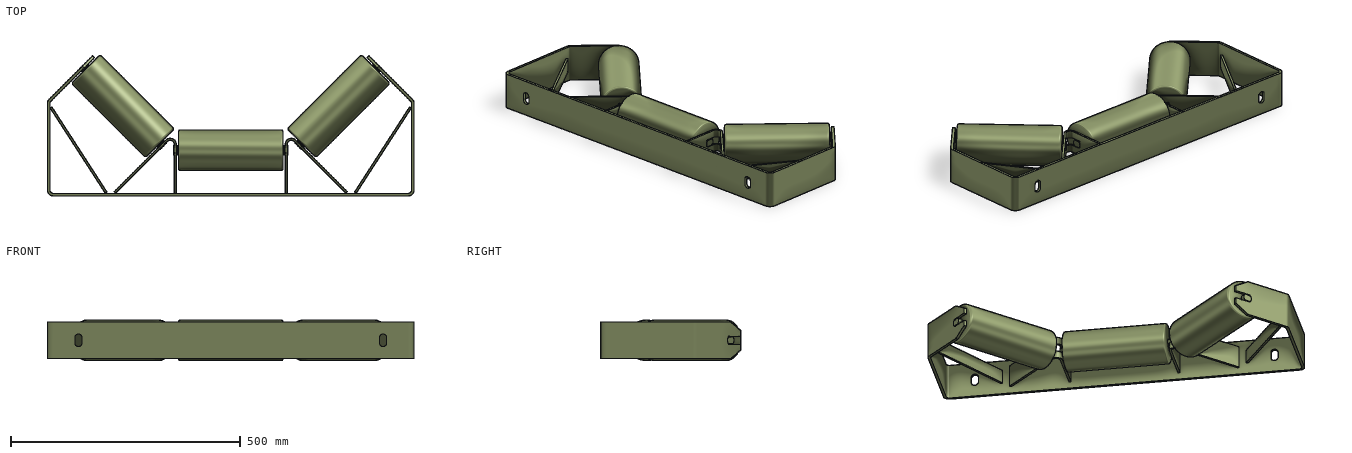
import cadquery as cq
import math


ROLLER_LENGTH = 229.0
ROLLER_DIAMETER = 89.0
ROLLER_EDGE_RADIUS = 5.0
SHAFT_DIAMETER = 20.0
SHAFT_FLATS = 14.0
SLOT_WIDTH = 18.0
ROLLER_GAP = 4.0

CENTER_ROLLER_Y = 100.0
SIDE_ROLLER_X = 235.0
SIDE_ROLLER_Y = 196.0
TROUGH_ANGLE = 45.0

FRAME_LENGTH = 800.0
FRAME_THICKNESS = 6.0
FRAME_WIDTH = 80.0
FRAME_BEND_RADIUS = 10.0
ARM_TIP_REACH = 31.0
ARM_TIP_WIDTH = 43.0
ARM_TAPER_LENGTH = 32.0
MOUNT_SLOT_X = 332.0
MOUNT_SLOT_WIDTH = 16.0
MOUNT_SLOT_LENGTH = 27.0

BRACKET_THICKNESS = 5.0
BRACKET_WIDTH = 50.0
BRACKET_BEND_RADIUS = 11.0
BRACE_WIDTH = 30.0
BRACE_THICKNESS = 5.0
BRACE_TOP_Y = 192.0
BRACE_FOOT_X = 274.0

FACE_OFFSET = ROLLER_LENGTH / 2 + ROLLER_GAP
ARM_OFFSET = FACE_OFFSET + FRAME_THICKNESS / 2
BRACKET_OFFSET = FACE_OFFSET + BRACKET_THICKNESS / 2
JOURNAL_OFFSET = (ROLLER_LENGTH + ROLLER_GAP) / 2
SHAFT_LENGTH = 2 * (FACE_OFFSET + FRAME_THICKNESS)
TILT = math.radians(TROUGH_ANGLE)

CENTER_PLANE = cq.Plane((0, CENTER_ROLLER_Y, 0), (1, 0, 0), (0, 0, 1))
SIDE_PLANE = cq.Plane(
    (-SIDE_ROLLER_X, SIDE_ROLLER_Y, 0), (math.cos(TILT), -math.sin(TILT), 0), (0, 0, 1)
)


def side_point(along_axis, away):
    """Global point given in the plane of the left side roller."""
    return SIDE_PLANE.toWorldCoords((along_axis, away, 0))


def side_point_at_x(along_axis, x):
    """Point with the given X on the line square to the left roller axis."""
    start = side_point(along_axis, 0)
    return cq.Vector(x, start.y + (x - start.x) / math.tan(TILT), 0)


def bent_strip(points, width, thickness, bend_radius):
    """Flat strip of constant thickness along a line with rounded bends."""
    path = cq.Wire.makePolygon(points).fillet(bend_radius)
    section = cq.Plane(points[0], (0, 0, 1), points[1] - points[0])
    return cq.Workplane(section).rect(width, thickness).sweep(cq.Workplane(path))


def flat_sided_bar(start, end, flats):
    """Round bar on the X axis with two flats facing up and down."""
    length = end - start
    bar = cq.Workplane("YZ").workplane(offset=start).circle(SHAFT_DIAMETER / 2).extrude(length)
    flat_block = cq.Workplane("XY").box(length, SHAFT_DIAMETER, flats).translate(((start + end) / 2, 0, 0))
    return bar.intersect(flat_block)


def shaft_slot(plane, start, end, reach):
    """Cutter for an open slot with a round bottom that seats a shaft end."""
    channel = cq.Workplane("XY").box(end - start, reach, SLOT_WIDTH)
    channel = channel.translate(((start + end) / 2, reach / 2, 0))
    slot = channel.union(flat_sided_bar(start, end, SLOT_WIDTH))
    return cq.Workplane(slot.val().moved(plane.location))


def make_roller(plane):
    """Tube with rounded ends on a shaft whose ends have two flats."""
    tube_end = cq.Workplane("YZ").workplane(offset=-ROLLER_LENGTH / 2)
    tube = tube_end.circle(ROLLER_DIAMETER / 2).extrude(ROLLER_LENGTH)
    tube = tube.faces("<X or >X").edges().fillet(ROLLER_EDGE_RADIUS)
    journals = cq.Workplane("YZ").circle(SHAFT_DIAMETER / 2).extrude(JOURNAL_OFFSET, both=True)
    shaft_ends = flat_sided_bar(-SHAFT_LENGTH / 2, SHAFT_LENGTH / 2, SHAFT_FLATS)
    roller = tube.union(journals).union(shaft_ends)
    return cq.Workplane(roller.val().moved(plane.location))


def arm_taper():
    """Cutters that narrow the tip of the left arm on both edges."""
    edge = FRAME_WIDTH / 2
    tip_edge = ARM_TIP_WIDTH / 2
    tip = side_point(-FACE_OFFSET, ARM_TIP_REACH)
    inner_face = cq.Plane(tip, SIDE_PLANE.yDir, -SIDE_PLANE.xDir)
    corner = (
        cq.Workplane(inner_face)
        .polyline([(0, tip_edge), (0, edge), (-ARM_TAPER_LENGTH, edge)])
        .close()
        .extrude(FRAME_THICKNESS)
    )
    return corner.union(corner.mirror("XY"))


def make_frame():
    """One strip bent into the base, both sides and both arms, with shaft and mounting slots."""
    side_x = -(FRAME_LENGTH - FRAME_THICKNESS) / 2
    base_y = FRAME_THICKNESS / 2
    left_half = [
        side_point(-ARM_OFFSET, ARM_TIP_REACH),
        side_point_at_x(-ARM_OFFSET, side_x),
        cq.Vector(side_x, base_y, 0),
    ]
    right_half = [cq.Vector(-point.x, point.y, 0) for point in reversed(left_half)]
    frame = bent_strip(left_half + right_half, FRAME_WIDTH, FRAME_THICKNESS, FRAME_BEND_RADIUS)

    slot_reach = 2 * ARM_TIP_REACH
    arm_cut = arm_taper().union(
        shaft_slot(SIDE_PLANE, -FACE_OFFSET - FRAME_THICKNESS, -FACE_OFFSET, slot_reach)
    )
    mount_slots = (
        cq.Workplane("XZ")
        .pushPoints([(-MOUNT_SLOT_X, 0), (MOUNT_SLOT_X, 0)])
        .slot2D(MOUNT_SLOT_LENGTH, MOUNT_SLOT_WIDTH, 90)
        .extrude(-FRAME_THICKNESS)
    )
    return frame.cut(arm_cut).cut(arm_cut.mirror("YZ")).cut(mount_slots)


def make_left_bracket():
    """Bent strip that carries the facing ends of the left and center rollers."""
    foot_y = FRAME_THICKNESS + BRACKET_THICKNESS / 2 * math.sin(TILT)
    seat = side_point(BRACKET_OFFSET, 0)
    foot_x = seat.x + (foot_y - seat.y) * math.tan(TILT)
    points = [
        cq.Vector(foot_x, foot_y, 0),
        side_point_at_x(BRACKET_OFFSET, -BRACKET_OFFSET),
        cq.Vector(-BRACKET_OFFSET, FRAME_THICKNESS, 0),
    ]
    bracket = bent_strip(points, BRACKET_WIDTH, BRACKET_THICKNESS, BRACKET_BEND_RADIUS)

    outer_face = FACE_OFFSET + BRACKET_THICKNESS
    bend_span = -FACE_OFFSET - seat.x
    side_slot = shaft_slot(SIDE_PLANE, FACE_OFFSET, outer_face, bend_span)
    center_slot = shaft_slot(CENTER_PLANE, -outer_face, -FACE_OFFSET, bend_span)
    bend_slot = cq.Workplane("XY").box(bend_span, bend_span, SLOT_WIDTH)
    bend_slot = bend_slot.translate((seat.x + bend_span / 2, seat.y + bend_span / 2, 0))
    return bracket.cut(side_slot).cut(center_slot).cut(bend_slot)


def make_left_brace():
    """Flat bar with square ends whose outer corners rest on the frame side and the base."""
    top = cq.Vector(-FRAME_LENGTH / 2 + FRAME_THICKNESS, BRACE_TOP_Y, 0)
    foot = cq.Vector(-BRACE_FOOT_X, FRAME_THICKNESS, 0)
    length = (foot - top).Length
    plane = cq.Plane(top, foot - top, (0, 0, 1))
    return (
        cq.Workplane(plane)
        .rect(length, BRACE_THICKNESS, centered=False)
        .extrude(BRACE_WIDTH / 2, both=True)
    )


frame = make_frame()
left_bracket = make_left_bracket()
left_brace = make_left_brace()
left_roller = make_roller(SIDE_PLANE)
center_roller = make_roller(CENTER_PLANE)

bodies = [frame.solids().val(), center_roller.solids().val()]
for left_body in (left_bracket, left_brace, left_roller):
    bodies.append(left_body.solids().val())
    bodies.append(left_body.mirror("YZ").solids().val())

result = cq.Compound.makeCompound(bodies)